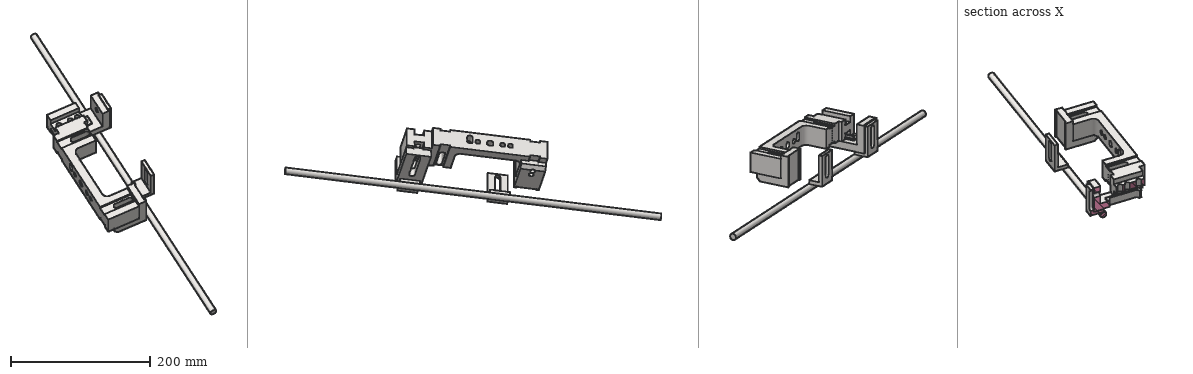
import cadquery as cq


ROD_LENGTH = 551.5
ROD_RADIUS = 5.0
ROD_Y = 0.35

BRACKET_WIDTH = 36.5
GROOVE_WIDTH = 14.5
BASE_BOTTOM = 11.0
BASE_TOP = 22.5
WALL_THICKNESS = 12.0
TONGUE_HEIGHT = 1.5
TONGUE_SETBACK = 11.0
HOLE_DIAMETER = 7.0
SLOT_WIDTH = 8.0

CLIP_WIDTH = 29.0
CLIP_BACK = 21.5
CLIP_FRONT = 0
CLIP_PLATE = 5.5
CLIP_TOP = 52.5
CLIP_SLOT_BOTTOM = 14.5
CLIP_SLOT_TOP = 49.5

FRAME_MIDDLE_X = 10.0
FRAME_LENGTH = 168.0
FRAME_FRONT = -74.5
FRAME_HEIGHT = 30.5
ARM_BACK = -24.0
WEB_THICKNESS = 14.0
INNER_FILLET = 7.5
ARM_GROOVE_DEPTH = 3.0
ARM_SLOT_BACK = -25.5
ARM_SLOT_FRONT = -55.5

BLOCK_BACK = -19.5
BLOCK_FRONT = -65.5
BLOCK_GROOVE_DEPTH = 9.0
BLOCK_HOLE_YS = (-26.0, -37.5, -55.5)

WEB_BORE_DIAMETER = 9.5
INNER_HOLE_OFFSET = 18.0
OUTER_HOLE_OFFSET = 30.0
WEB_SLOT_RISE = 5.5

LEFT_BRACKET_BACK = 17.5
LEFT_BRACKET_FRONT = -60.5
LEFT_BRACKET_TOP = 54.0
LEFT_SLOT_BACK = -9.5
LEFT_SLOT_FRONT = -57.0
WALL_HOLE_Z = 40.0

RIGHT_BRACKET_FRONT = -64.0
RIGHT_BRACKET_TOP = 58.5
RIGHT_BRACKET_CHAMFER = 5.5
RIGHT_HOLE_YS = (-47.5, -55.5)

FRAME_LEFT = FRAME_MIDDLE_X - FRAME_LENGTH / 2
FRAME_RIGHT = FRAME_MIDDLE_X + FRAME_LENGTH / 2
FRAME_BOTTOM = BASE_TOP
FRAME_TOP = FRAME_BOTTOM + FRAME_HEIGHT
FRAME_MIDDLE_Z = (FRAME_BOTTOM + FRAME_TOP) / 2
LEFT_ARM_X = FRAME_LEFT + BRACKET_WIDTH / 2
RIGHT_ARM_X = FRAME_RIGHT - BRACKET_WIDTH / 2
BLOCK_X = FRAME_LEFT - BRACKET_WIDTH / 2
RIGHT_CLIP_X = FRAME_MIDDLE_X + OUTER_HOLE_OFFSET
CLIP_SEAT_DEPTH = LEFT_BRACKET_BACK - (CLIP_BACK - CLIP_PLATE)
RIGHT_BRACKET_BACK = ARM_BACK + WALL_THICKNESS


def box(x_middle, width, y_range, z_range):
    """Box centred on x_middle, between two Y values and two Z values."""
    depth = y_range[1] - y_range[0]
    height = z_range[1] - z_range[0]
    corner = (x_middle - width / 2, y_range[0], z_range[0])
    return cq.Workplane("XY").box(width, depth, height, centered=False).translate(corner)


def hole_along_y(x, z, diameter, y_range):
    """Round cutter along Y."""
    plane = cq.Workplane("XZ", origin=(x, y_range[1], z))
    return plane.circle(diameter / 2).extrude(y_range[1] - y_range[0])


def hole_along_z(x, y, diameter, z_range):
    """Round cutter along Z."""
    plane = cq.Workplane("XY", origin=(x, y, z_range[0]))
    return plane.circle(diameter / 2).extrude(z_range[1] - z_range[0])


def slot_along_z(x, y_range, width, z_range):
    """Cutter through Z, long in Y, with round ends at the two Y values."""
    plane = cq.Workplane("XY", origin=(x, sum(y_range) / 2, z_range[0]))
    return plane.slot2D(y_range[1] - y_range[0], width, 90).extrude(z_range[1] - z_range[0])


def slot_along_y(x, slot_z_range, width, y_range):
    """Cutter through Y, long in Z, with round ends at the two Z values."""
    plane = cq.Workplane("XZ", origin=(x, y_range[1], sum(slot_z_range) / 2))
    length = slot_z_range[1] - slot_z_range[0]
    return plane.slot2D(length, width, 90).extrude(y_range[1] - y_range[0])


def make_rod():
    return cq.Workplane("YZ", origin=(-ROD_LENGTH / 2, ROD_Y, 0)).circle(ROD_RADIUS).extrude(ROD_LENGTH)


def make_clip(x):
    """L of a slotted upright plate and a foot that rests on top of the rod."""
    plate_y = (CLIP_BACK - CLIP_PLATE, CLIP_BACK)
    plate = box(x, CLIP_WIDTH, plate_y, (ROD_RADIUS, CLIP_TOP))
    foot = box(x, CLIP_WIDTH, (CLIP_FRONT, CLIP_BACK), (ROD_RADIUS, BASE_BOTTOM))
    slot = slot_along_y(x, (CLIP_SLOT_BOTTOM, CLIP_SLOT_TOP), SLOT_WIDTH, plate_y)
    return plate.union(foot).cut(slot)


def make_bracket(x, back, front, top):
    """L of a wall and a base, with a seat for a clip behind and a tongue on the base."""
    wall_front = back - WALL_THICKNESS
    wall = box(x, BRACKET_WIDTH, (wall_front, back), (BASE_BOTTOM, top))
    base = box(x, BRACKET_WIDTH, (front, back), (BASE_BOTTOM, BASE_TOP))
    tongue_y = (front, wall_front - TONGUE_SETBACK)
    tongue = box(x, GROOVE_WIDTH, tongue_y, (BASE_TOP, BASE_TOP + TONGUE_HEIGHT))
    clip_seat = box(x, CLIP_WIDTH, (back - CLIP_SEAT_DEPTH, back), (BASE_BOTTOM, top))
    return wall.union(base).cut(clip_seat).union(tongue)


def make_left_bracket():
    bracket = make_bracket(BLOCK_X, LEFT_BRACKET_BACK, LEFT_BRACKET_FRONT, LEFT_BRACKET_TOP)
    wall_y = (LEFT_BRACKET_BACK - WALL_THICKNESS, LEFT_BRACKET_BACK)
    wall_hole = hole_along_y(BLOCK_X, WALL_HOLE_Z, HOLE_DIAMETER, wall_y)
    base_z = (BASE_BOTTOM, BASE_TOP + TONGUE_HEIGHT)
    base_slot = slot_along_z(BLOCK_X, (LEFT_SLOT_FRONT, LEFT_SLOT_BACK), SLOT_WIDTH, base_z)
    return bracket.cut(wall_hole).cut(base_slot)


def make_right_bracket():
    bracket = make_bracket(RIGHT_ARM_X, RIGHT_BRACKET_BACK, RIGHT_BRACKET_FRONT, RIGHT_BRACKET_TOP)
    bracket = bracket.faces("<Y").edges("<Z").chamfer(RIGHT_BRACKET_CHAMFER)
    base_z = (BASE_BOTTOM, BASE_TOP + TONGUE_HEIGHT)
    for y in RIGHT_HOLE_YS:
        bracket = bracket.cut(hole_along_z(RIGHT_ARM_X, y, HOLE_DIAMETER, base_z))
    return bracket


def cut_grooves(body, x, y_range, depth):
    """Cut matching grooves along Y into the top and the bottom."""
    top_groove = box(x, GROOVE_WIDTH, y_range, (FRAME_TOP - depth, FRAME_TOP))
    bottom_groove = box(x, GROOVE_WIDTH, y_range, (FRAME_BOTTOM, FRAME_BOTTOM + depth))
    return body.cut(top_groove).cut(bottom_groove)


def make_frame():
    frame_z = (FRAME_BOTTOM, FRAME_TOP)
    frame_y = (FRAME_FRONT, ARM_BACK)
    block_y = (BLOCK_FRONT, BLOCK_BACK)
    web_y = (FRAME_FRONT, FRAME_FRONT + WEB_THICKNESS)

    opening_width = FRAME_LENGTH - 2 * BRACKET_WIDTH
    opening = box(FRAME_MIDDLE_X, opening_width, (web_y[1], ARM_BACK), frame_z)
    opening = opening.faces("<Y").edges("|Z").fillet(INNER_FILLET)
    frame = box(FRAME_MIDDLE_X, FRAME_LENGTH, frame_y, frame_z).cut(opening)

    frame = frame.union(box(BLOCK_X, BRACKET_WIDTH, block_y, frame_z))

    frame = cut_grooves(frame, BLOCK_X, block_y, BLOCK_GROOVE_DEPTH)
    for x in (LEFT_ARM_X, RIGHT_ARM_X):
        frame = cut_grooves(frame, x, frame_y, ARM_GROOVE_DEPTH)

    slot_y = (ARM_SLOT_FRONT, ARM_SLOT_BACK)
    frame = frame.cut(slot_along_z(LEFT_ARM_X, slot_y, SLOT_WIDTH, frame_z))
    frame = frame.cut(slot_along_z(RIGHT_ARM_X, slot_y, HOLE_DIAMETER, frame_z))
    for y in BLOCK_HOLE_YS:
        frame = frame.cut(hole_along_z(BLOCK_X, y, HOLE_DIAMETER, frame_z))

    for offset in (-INNER_HOLE_OFFSET, INNER_HOLE_OFFSET, OUTER_HOLE_OFFSET):
        hole_x = FRAME_MIDDLE_X + offset
        frame = frame.cut(hole_along_y(hole_x, FRAME_MIDDLE_Z, HOLE_DIAMETER, web_y))
    frame = frame.cut(hole_along_y(FRAME_MIDDLE_X, FRAME_MIDDLE_Z, WEB_BORE_DIAMETER, web_y))
    web_slot_bottom = FRAME_MIDDLE_Z - SLOT_WIDTH / 2
    web_slot_z = (web_slot_bottom, web_slot_bottom + SLOT_WIDTH + WEB_SLOT_RISE)
    web_slot_x = FRAME_MIDDLE_X - OUTER_HOLE_OFFSET
    return frame.cut(slot_along_y(web_slot_x, web_slot_z, SLOT_WIDTH, web_y))


rod = make_rod()
clips = [make_clip(x) for x in (BLOCK_X, RIGHT_CLIP_X)]
left_bracket = make_left_bracket()
right_bracket = make_right_bracket()
frame = make_frame()

result = cq.Compound.makeCompound(
    [rod.val(), *[clip.val() for clip in clips], left_bracket.val(), right_bracket.val(), frame.val()]
)